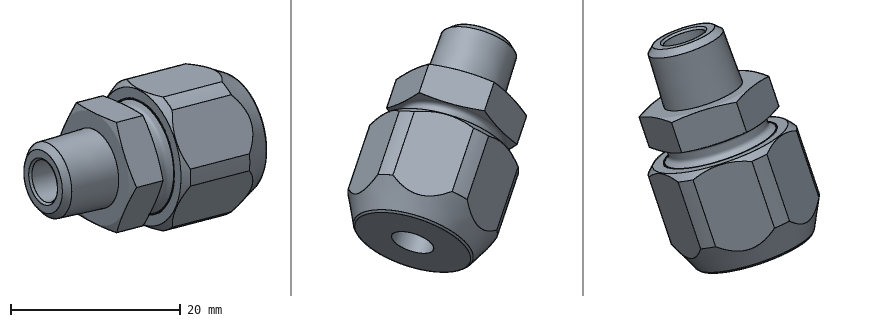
import cadquery as cq
import math

total_length = 27.5
spigot_end = 7.5
hexagon_end = 12.0
nut_start = 14.05

spigot_root_radius = 4.9
spigot_taper = 1 / 32
spigot_chamfer = 0.8

bore_radius = 2.6
bore_chamfer = 0.28

hexagon_flats = 14.0
hexagon_face_radius = 6.98
hexagon_chamfer_depth = 0.3

neck_radius = 6.22
neck_front_fillet = 0.5
neck_back_fillet = 0.6
neck_cone_start = 13.72
neck_cone_angle = math.radians(55)

nut_flats = 17.0
nut_mouth_radius = 7.1
nut_mouth_depth = 0.22
nut_corner_diameter = 18.5
nut_corner_radius = nut_corner_diameter / 2
nut_front_chamfer = 0.82
nut_cone_length = 4.0
nut_cone_end_radius = 7.42
nut_rim_chamfer = 0.25


def revolve_profile(profile):
    """Turn a closed outline of (radius, Y) about the Y axis."""
    return profile.close().revolve(360, (0, 0, 0), (0, 1, 0))


def revolve_points(points):
    return revolve_profile(cq.Workplane("XY").polyline(points))


def hexagonal_bar(across_flats, start, end):
    """Hexagon along Y with corners on the X axis and flats facing Z."""
    corner_diameter = across_flats / math.cos(math.pi / 6)
    bar = cq.Workplane("XZ").polygon(6, corner_diameter).extrude(start - end)
    return bar.translate((0, start, 0))


def make_spigot():
    tip_edge_radius = spigot_root_radius - spigot_taper * (spigot_end - spigot_chamfer)
    return revolve_points([
        (0, 0),
        (tip_edge_radius - spigot_chamfer, 0),
        (tip_edge_radius, spigot_chamfer),
        (spigot_root_radius, spigot_end),
        (0, spigot_end),
    ])


def make_hexagon():
    corner_radius = hexagon_flats / 2 / math.cos(math.pi / 6)
    envelope = revolve_points([
        (0, spigot_end),
        (hexagon_face_radius, spigot_end),
        (corner_radius, spigot_end + hexagon_chamfer_depth),
        (corner_radius, hexagon_end - hexagon_chamfer_depth),
        (hexagon_face_radius, hexagon_end),
        (0, hexagon_end),
    ])
    return hexagonal_bar(hexagon_flats, spigot_end, hexagon_end).intersect(envelope)


def make_neck():
    def arc_rise(radius, angle):
        return radius * (1 - math.cos(angle))

    front = arc_rise(neck_front_fillet, math.pi / 4)
    back_center = neck_cone_start - neck_back_fillet * math.sin(neck_cone_angle)
    half_angle = neck_cone_angle / 2
    cone_start_radius = neck_radius + arc_rise(neck_back_fillet, neck_cone_angle)
    neck_end = nut_start + nut_mouth_depth
    cone_end_radius = cone_start_radius + (nut_start - neck_cone_start) * math.tan(neck_cone_angle)
    profile = (
        cq.Workplane("XY")
        .moveTo(0, hexagon_end)
        .lineTo(neck_radius + neck_front_fillet, hexagon_end)
        .threePointArc(
            (neck_radius + front, hexagon_end + front),
            (neck_radius, hexagon_end + neck_front_fillet),
        )
        .lineTo(neck_radius, back_center)
        .threePointArc(
            (
                neck_radius + arc_rise(neck_back_fillet, half_angle),
                back_center + neck_back_fillet * math.sin(half_angle),
            ),
            (cone_start_radius, neck_cone_start),
        )
        .lineTo(cone_end_radius, nut_start)
        .lineTo(cone_end_radius, neck_end)
        .lineTo(0, neck_end)
    )
    return revolve_profile(profile)


def make_nut():
    envelope = revolve_points([
        (0, nut_start + nut_mouth_depth),
        (nut_mouth_radius, nut_start + nut_mouth_depth),
        (nut_mouth_radius, nut_start),
        (nut_corner_radius - nut_front_chamfer, nut_start),
        (nut_corner_radius, nut_start + nut_front_chamfer),
        (nut_corner_radius, total_length - nut_cone_length),
        (nut_cone_end_radius, total_length - nut_rim_chamfer),
        (nut_cone_end_radius - nut_rim_chamfer, total_length),
        (0, total_length),
    ])
    return hexagonal_bar(nut_flats, nut_start, total_length).intersect(envelope)


def make_bore():
    return revolve_points([
        (0, 0),
        (bore_radius + bore_chamfer, 0),
        (bore_radius, bore_chamfer),
        (bore_radius, total_length),
        (0, total_length),
    ])


body = make_spigot().union(make_hexagon()).union(make_neck()).union(make_nut())
result = body.cut(make_bore())